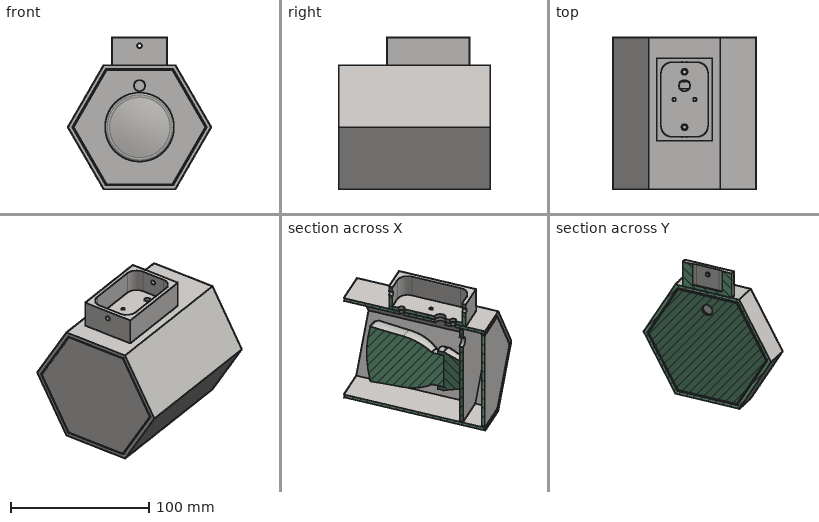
import cadquery as cq
import math

tube_length = 110.0
tube_flats = 90.0
wall = 3.0
plate_gap = 0.5
front_y = -tube_length / 2
rear_y = tube_length / 2
tube_top_z = tube_flats / 2

box_width = 40.0
box_length = 60.0
box_height = 20.0
box_y = 10.0
box_corner_radius = 8.0
lid_screw_diameter = 3.3
lid_screw_drop = 6.0

cable_hole_diameter = 8.0
cable_hole_y = 20.0
mount_spacing = 40.0
mount_clearance_diameter = 4.4
mount_tapped_diameter = 3.3
terminal_spacing = 15.0
terminal_diameter = 2.5

divider_front_y = 35.0
divider_hole_z = 30.0

bezel_y = -35.1
lens_radius = 21.9
lens_rise = 2.3
bezel_radius = 23.5
lamp_radius = 25.0
rim_depth = 1.6
reflector_radius = 23.3
reflector_y = -8.8
neck_radius = 14.5
neck_y = 13.8

collar_radius = 17.5
collar_front_y = 17.9
collar_length = 5.0
socket_taper = 20.0
collar_rear_y = collar_front_y + collar_length


def hexagon(flats, length, start_y):
    """Hexagonal bar along +Y with two flats level, starting at start_y."""
    corner_diameter = flats / math.cos(math.radians(30))
    return (
        cq.Workplane("XZ", origin=(0, start_y, 0))
        .polygon(6, corner_diameter)
        .extrude(-length)
    )


def floor_holes(diameter, places):
    """Vertical cutters that pass through the box floor and the tube wall."""
    return (
        cq.Workplane("XY", origin=(0, 0, tube_top_z - 2 * wall))
        .pushPoints(places)
        .circle(diameter / 2)
        .extrude(4 * wall)
    )


cable_place = [(0, cable_hole_y)]
mount_places = [(0, box_y + side * mount_spacing / 2) for side in (-1, 1)]
terminal_places = [(side * terminal_spacing / 2, box_y) for side in (-1, 1)]


def make_tube():
    """Hexagonal tube, open at both ends, drilled below the junction box."""
    tube = hexagon(tube_flats, tube_length, front_y)
    tube = tube.cut(hexagon(tube_flats - 2 * wall, tube_length, front_y))
    tube = tube.cut(floor_holes(cable_hole_diameter, cable_place))
    return tube.cut(floor_holes(mount_tapped_diameter, mount_places))


def make_junction_box():
    """Open-topped box with a rounded cavity, lid screw holes and floor holes."""
    box = (
        cq.Workplane("XY", origin=(0, box_y, tube_top_z))
        .rect(box_width, box_length)
        .extrude(box_height)
    )
    cavity = (
        cq.Workplane("XY", origin=(0, box_y, tube_top_z + wall))
        .rect(box_width - 2 * wall, box_length - 2 * wall)
        .extrude(box_height)
        .edges("|Z")
        .fillet(box_corner_radius)
    )
    lid_screw_holes = (
        cq.Workplane("XZ", origin=(0, box_y, tube_top_z + box_height - lid_screw_drop))
        .circle(lid_screw_diameter / 2)
        .extrude(box_length, both=True)
    )
    box = box.cut(cavity).cut(lid_screw_holes)
    box = box.cut(floor_holes(cable_hole_diameter, cable_place))
    box = box.cut(floor_holes(mount_clearance_diameter, mount_places))
    return box.cut(floor_holes(terminal_diameter, terminal_places))


def make_plate(start_y):
    """Hexagonal plate that fits inside the tube with a small gap all round."""
    return hexagon(tube_flats - 2 * wall - 2 * plate_gap, wall, start_y)


def make_divider():
    """Plate behind the socket, with a hole for the cable above the lamp."""
    cable_hole = (
        cq.Workplane("XZ", origin=(0, divider_front_y, divider_hole_z))
        .circle(cable_hole_diameter / 2)
        .extrude(-wall)
    )
    return make_plate(divider_front_y).cut(cable_hole)


def make_lamp():
    """Reflector lamp: domed lens, flat bezel, rounded rim, reflector and neck."""
    rim_middle = (
        bezel_radius + (lamp_radius - bezel_radius) * math.sin(math.radians(45)),
        bezel_y + rim_depth * (1 - math.cos(math.radians(45))),
    )
    lens_sphere_radius = (lens_radius**2 + lens_rise**2) / (2 * lens_rise)
    half_radius = lens_radius / 2
    half_rise = lens_rise - lens_sphere_radius + math.sqrt(lens_sphere_radius**2 - half_radius**2)
    return (
        cq.Workplane("XY")
        .moveTo(0, bezel_y - lens_rise)
        .threePointArc((half_radius, bezel_y - half_rise), (lens_radius, bezel_y))
        .lineTo(bezel_radius, bezel_y)
        .threePointArc(rim_middle, (lamp_radius, bezel_y + rim_depth))
        .lineTo(reflector_radius, reflector_y)
        .tangentArcPoint((neck_radius, neck_y), relative=False)
        .lineTo(neck_radius, collar_rear_y)
        .lineTo(0, collar_rear_y)
        .close()
        .revolve(360, (0, 0, 0), (0, 1, 0))
    )


def make_socket():
    """Socket with a collar around the lamp neck and a tapered rear on the divider."""
    taper_length = divider_front_y - collar_rear_y
    rear_radius = collar_radius - taper_length * math.tan(math.radians(socket_taper))
    return (
        cq.Workplane("XY")
        .moveTo(neck_radius, collar_front_y)
        .lineTo(collar_radius, collar_front_y)
        .lineTo(collar_radius, collar_rear_y)
        .lineTo(rear_radius, divider_front_y)
        .lineTo(0, divider_front_y)
        .lineTo(0, collar_rear_y)
        .lineTo(neck_radius, collar_rear_y)
        .close()
        .revolve(360, (0, 0, 0), (0, 1, 0))
    )


tube = make_tube()
junction_box = make_junction_box()
divider = make_divider()
back_cover = make_plate(rear_y - wall)
lamp = make_lamp()
socket = make_socket()

result = cq.Compound.makeCompound(
    [
        tube.val(),
        junction_box.val(),
        divider.val(),
        back_cover.val(),
        lamp.val(),
        socket.val(),
    ]
)